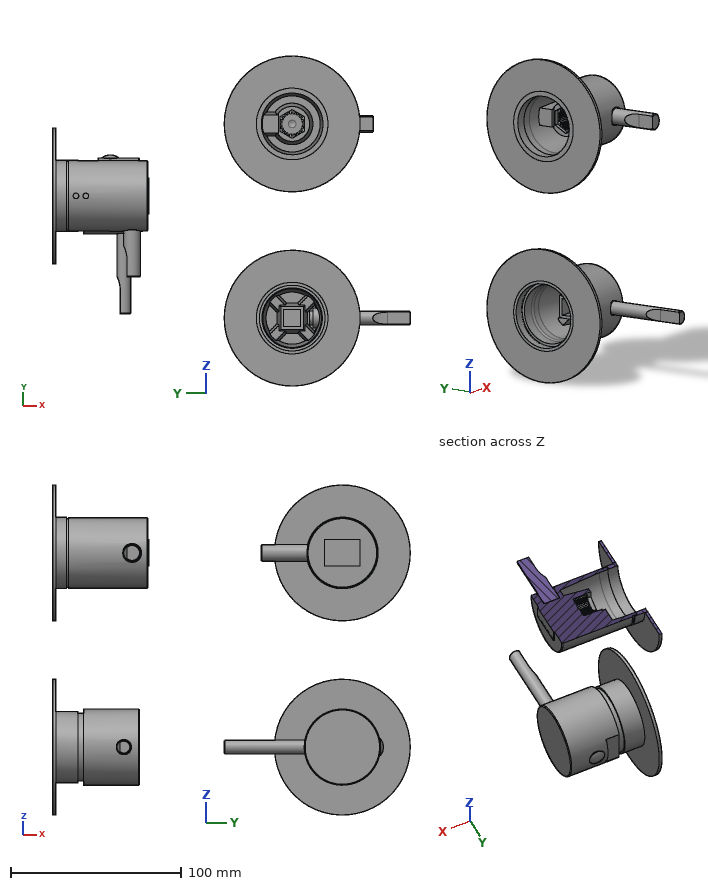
import cadquery as cq
import math

overall_height = 194.2

plate_diameter = 80.0
plate_thickness = 2.0
valve_offset = (overall_height - plate_diameter) / 2

sleeve_diameter = 42.2
edge_chamfer = 0.5

upper_sleeve_end = 8.4
upper_sleeve_bore = 36.3

cap_spigot_start = 6.6
cap_spigot_diameter = 40.4
cap_start = 9.5
cap_end = 56.1
cap_diameter = 41.5
cap_taper_start = 12.2
cap_floor = 38.8
cap_floor_diameter = 33.0

badge_width = 21.0
badge_height = 15.5
badge_end = 56.7

cap_hub_start = 23.3
cap_hub_tip_radius = 10.3
cap_hub_base_radius = 12.2

key_start = 21.4
key_inner = 8.2
key_tip_width = 10.5
key_base_width = 14.0

hex_across_flats = 14.5
hex_depth = 3.0
spline_bore_diameter = 12.0
spline_root_diameter = 14.0
spline_count = 20
spline_depth = 11.7
spline_groove_width = 1.0
dimple_diameter = 4.5
dimple_depth = 0.5

dot_diameter = 3.3
dot_depth = 1.0
dot_positions = (13.8, 19.6)

lower_sleeve_end = 15.0
lower_sleeve_bore = 38.7

handle_spigot_start = 6.5
handle_spigot_diameter = 40.0
handle_start = 18.3
handle_end = 51.3
handle_diameter = 44.9
handle_mouth_bore = 35.5
handle_step_start = 13.8
handle_step_end = 16.0
handle_step_bore = 34.5
handle_taper_start = 20.8
handle_floor = 45.6
handle_floor_diameter = 30.7

handle_hub_start = 27.2
handle_hub_tip_width = 13.4
handle_hub_base_width = 17.9
handle_hub_corner = 2.0
square_hole_width = 10.0
square_hole_depth = 15.5

rib_start = 35.0
rib_tip_width = 5.0
rib_base_width = 8.0
rib_count = 4

lever_boss_diameter = 11.7
lever_boss_inner = 12.2

notch_end = 26.8
notch_floor = handle_spigot_diameter / 2
button_position = 34.0
button_radius = 5.0
button_height = 1.7

flat_runout_length = 8.7
lever_relief_depth = 1.0

upper_lever = dict(axis=46.8, diameter=10.0, inner=11.7, tip=47.8, flat_offset=3.0, flat_start=38.3)
upper_relief_diameter = 11.0

lower_lever = dict(axis=42.0, diameter=8.2, inner=10.3, tip=69.5, flat_offset=2.1, flat_start=56.1)
lower_relief_diameter = 9.0


def turned(outline):
    """Solid of revolution about the X axis from (x, radius) points."""
    return cq.Workplane("XY").polyline(outline).close().revolve(360, (0, 0, 0), (1, 0, 0))


def tube(start, end, outer_diameter, inner_diameter):
    outer = outer_diameter / 2
    inner = inner_diameter / 2
    return turned([(start, inner), (end, inner), (end, outer), (start, outer)])


def facing_back(x):
    """Workplane across the X axis whose normal points toward -X."""
    return cq.Workplane(cq.Plane(origin=(x, 0, 0), xDir=(0, 1, 0), normal=(-1, 0, 0)))


def facing_front(x):
    """Workplane across the X axis whose normal points toward +X."""
    return cq.Workplane(cq.Plane(origin=(x, 0, 0), xDir=(0, 1, 0), normal=(1, 0, 0)))


def draft_angle(base_width, tip_width, length):
    """Taper in degrees of a boss that narrows from its base to its tip."""
    return math.degrees(math.atan((base_width - tip_width) / 2 / length))


def radial_rod(x, diameter, inner, outer):
    """Cylinder along -Y at the given x, between two distances from the valve axis."""
    plane = cq.Plane(origin=(x, -inner, 0), xDir=(1, 0, 0), normal=(0, -1, 0))
    return cq.Workplane(plane).circle(diameter / 2).extrude(outer - inner)


def make_plate():
    return tube(0, plate_thickness, plate_diameter, sleeve_diameter)


def make_sleeve(end, bore, spigot_start, spigot_diameter):
    """Bushing with a counterbore in its +X end for the spigot of the rotating part."""
    sleeve = tube(0, end, sleeve_diameter, bore)
    return sleeve.cut(tube(spigot_start, end, spigot_diameter, 0))


def make_lever(axis, diameter, inner, tip, flat_offset, flat_start):
    """Round lever along -Y with a flat on its -X side that runs out in an arc."""
    lever = radial_rod(axis, diameter, inner, tip).faces("<Y").chamfer(edge_chamfer)
    flat_depth = diameter / 2 - flat_offset
    runout_radius = (flat_runout_length**2 + flat_depth**2) / (2 * flat_depth)
    runout_center = axis - flat_offset - runout_radius
    runout = cq.Workplane("XY").center(runout_center, -flat_start).circle(runout_radius)
    runout = runout.extrude(diameter, both=True)
    flat = cq.Workplane("XY").box(2 * runout_radius, tip - flat_start, 2 * diameter)
    flat = flat.translate((runout_center, -(tip + flat_start) / 2, 0))
    return lever.cut(runout).cut(flat)


def lever_hole(lever, relief_diameter, body_diameter):
    """Cutter for a lever's socket and the relief ring around its mouth."""
    socket = radial_rod(lever["axis"], lever["diameter"], lever["inner"], body_diameter)
    relief_floor = body_diameter / 2 - lever_relief_depth
    return socket.union(radial_rod(lever["axis"], relief_diameter, relief_floor, body_diameter))


def make_cap_shell():
    bore = upper_sleeve_bore / 2
    outer = cap_diameter / 2
    spigot = cap_spigot_diameter / 2
    return turned([
        (cap_spigot_start, bore),
        (cap_taper_start, bore),
        (cap_floor, cap_floor_diameter / 2),
        (cap_floor, 0),
        (cap_end, 0),
        (cap_end, outer - edge_chamfer),
        (cap_end - edge_chamfer, outer),
        (cap_start, outer),
        (cap_start, spigot),
        (cap_spigot_start, spigot),
    ])


def make_cap_hub():
    return turned([
        (cap_hub_start, 0),
        (cap_hub_start, cap_hub_tip_radius),
        (cap_floor, cap_hub_base_radius),
        (cap_floor, 0),
    ])


def make_cap_key():
    """Drafted block between the hub and the +Y side of the cap wall."""
    key_outer = cap_diameter / 2 - edge_chamfer
    section = [
        (key_start, -key_tip_width / 2),
        (key_start, key_tip_width / 2),
        (cap_floor, key_base_width / 2),
        (cap_floor, -key_base_width / 2),
    ]
    key = cq.Workplane("XZ", origin=(0, key_inner, 0)).polyline(section).close()
    key = key.extrude(key_inner - key_outer)
    return key.intersect(tube(key_start, cap_floor, 2 * key_outer, 0))


def make_hub_socket():
    """Cutter for the hexagonal mouth, the splined bore behind it and the dimple in its floor."""
    hex_corners = hex_across_flats / math.cos(math.pi / 6)
    hexagon = facing_front(cap_hub_start).transformed(rotate=(0, 0, 90)).polygon(6, hex_corners)
    hexagon = hexagon.extrude(hex_depth)
    spline_end = cap_hub_start + spline_depth
    bore = facing_front(cap_hub_start).circle(spline_bore_diameter / 2).extrude(spline_depth)
    groove = cq.Workplane("XY").box(spline_depth, spline_root_diameter, spline_groove_width)
    groove = groove.translate((cap_hub_start + spline_depth / 2, 0, 0))
    for index in range(spline_count // 2):
        bore = bore.union(groove.rotate((0, 0, 0), (1, 0, 0), index * 360 / spline_count))
    dimple = turned([
        (spline_end, 0),
        (spline_end, dimple_diameter / 2),
        (spline_end + dimple_depth, 0),
    ])
    return hexagon.union(bore).union(dimple)


def make_badge():
    """Raised pad on the outer end of the cap."""
    return facing_front(cap_end).rect(badge_width, badge_height).extrude(badge_end - cap_end)


def make_dot(x):
    """Round inlay at the top of the cap, flush with its surface."""
    cap_radius = cap_diameter / 2
    dot = cq.Workplane("XY", origin=(x, 0, cap_radius - dot_depth)).circle(dot_diameter / 2)
    dot = dot.extrude(2 * dot_depth)
    return dot.intersect(tube(cap_start, cap_end, cap_diameter, 0))


def make_cap(dots):
    cap = make_cap_shell().union(make_cap_hub()).union(make_cap_key()).union(make_badge())
    cap = cap.cut(make_hub_socket())
    cap = cap.cut(lever_hole(upper_lever, upper_relief_diameter, cap_diameter))
    for dot in dots:
        cap = cap.cut(dot)
    return cap


def make_handle_shell():
    mouth = handle_mouth_bore / 2
    step = handle_step_bore / 2
    outer = handle_diameter / 2
    spigot = handle_spigot_diameter / 2
    return turned([
        (handle_spigot_start, mouth),
        (handle_step_start, mouth),
        (handle_step_end, step),
        (handle_taper_start, step),
        (handle_floor, handle_floor_diameter / 2),
        (handle_floor, 0),
        (handle_end, 0),
        (handle_end, outer - edge_chamfer),
        (handle_end - edge_chamfer, outer),
        (handle_start, outer),
        (handle_start, spigot),
        (handle_spigot_start, spigot),
    ])


def make_handle_hub():
    length = handle_floor - handle_hub_start
    angle = draft_angle(handle_hub_base_width, handle_hub_tip_width, length)
    outline = cq.Sketch().rect(handle_hub_base_width, handle_hub_base_width)
    outline = outline.vertices().fillet(handle_hub_corner)
    return facing_back(handle_floor).placeSketch(outline).extrude(length, taper=angle)


def make_handle_ribs():
    """Drafted ribs from the axis out to the tapered wall, on the diagonals."""
    section = [
        (rib_start, -rib_tip_width / 2),
        (rib_start, rib_tip_width / 2),
        (handle_floor, rib_base_width / 2),
        (handle_floor, -rib_base_width / 2),
    ]
    rib = cq.Workplane("XZ").polyline(section).close().extrude(handle_step_bore / 2)
    ribs = cq.Workplane("XY")
    for index in range(rib_count):
        ribs = ribs.union(rib.rotate((0, 0, 0), (1, 0, 0), (index + 0.5) * 360 / rib_count))
    return ribs


def make_button():
    """Domed button on the +Y side of the handle."""
    radius = handle_diameter / 2
    sphere_radius = (button_radius**2 + button_height**2) / (2 * button_height)
    center = radius + button_height - sphere_radius
    dome = cq.Workplane("XY").sphere(sphere_radius).translate((button_position, center, 0))
    stem = cq.Workplane("XZ", origin=(button_position, notch_floor, 0)).circle(button_radius)
    return dome.intersect(stem.extrude(-button_radius))


def make_handle():
    handle = make_handle_shell().union(make_handle_hub()).union(make_handle_ribs())
    wall_middle = (handle_step_bore + handle_diameter) / 4
    handle = handle.union(
        radial_rod(lower_lever["axis"], lever_boss_diameter, lever_boss_inner, wall_middle)
    )
    notch_length = notch_end - handle_start
    notch = cq.Workplane("XY").box(notch_length, handle_diameter, handle_diameter)
    notch = notch.translate((handle_start + notch_length / 2, notch_floor + handle_diameter / 2, 0))
    handle = handle.cut(notch).union(make_button())
    hole = facing_front(handle_hub_start).rect(square_hole_width, square_hole_width)
    handle = handle.cut(hole.extrude(square_hole_depth))
    return handle.cut(lever_hole(lower_lever, lower_relief_diameter, handle_diameter))


dots = [make_dot(x) for x in dot_positions]
upper_bodies = [
    make_plate(),
    make_sleeve(upper_sleeve_end, upper_sleeve_bore, cap_spigot_start, cap_spigot_diameter),
    make_cap(dots),
    make_lever(**upper_lever),
    *dots,
]
lower_bodies = [
    make_plate(),
    make_sleeve(lower_sleeve_end, lower_sleeve_bore, handle_spigot_start, handle_spigot_diameter),
    make_handle(),
    make_lever(**lower_lever),
]

placed = [body.translate((0, 0, valve_offset)).val() for body in upper_bodies]
placed += [body.translate((0, 0, -valve_offset)).val() for body in lower_bodies]
result = cq.Compound.makeCompound(placed)